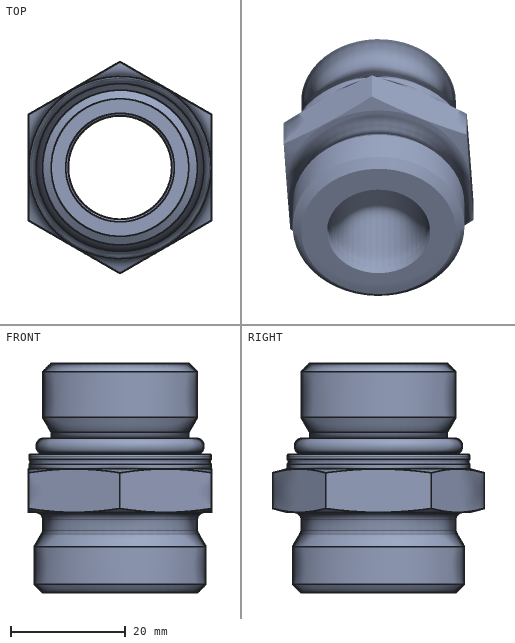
import cadquery as cq
import math

total_height = 40.0

lower_radius = 30.0 / 2
upper_radius = 27.0 / 2
upper_neck_radius = 24.0 / 2
end_chamfer = upper_radius - upper_neck_radius
runout_angle = 30.0
lower_thread_top = 8.0
lower_neck_radius = lower_radius - end_chamfer
upper_runout_bottom = 28.0
runout_height = end_chamfer / math.tan(math.radians(runout_angle))
runout_blend_radius = 1.2

hex_across_flats = 32.0
hex_bottom = 14.0
hex_top = 21.6
hex_chamfer_angle = 15.0
hex_fillet_radius = 1.15

collar_radius = 31.8 / 2
collar_top = 24.15
collar_edge_radius = 0.3
groove_bottom = 22.4
groove_top = 23.25
groove_depth = 0.2

bore_diameter = 18.0
bore_chamfer = 0.5

ring_outer_radius = 14.65
ring_section_radius = 1.4


def revolve(profile):
    """Revolve a closed (radius, height) profile about the Z axis."""
    return profile.close().revolve(360, (0, 0, 0), (0, 1, 0))


def make_turned_body():
    """Threaded ends, necks and sealing collar as one solid of revolution."""
    corner_height = lower_thread_top + runout_height
    half_turn = math.radians(runout_angle / 2)
    full_turn = math.radians(runout_angle)
    tangent_length = runout_blend_radius * math.tan(half_turn)
    blend_top = corner_height + tangent_length
    blend_center_radius = lower_neck_radius + runout_blend_radius

    def blend_point(angle):
        return (
            blend_center_radius - runout_blend_radius * math.cos(angle),
            blend_top - runout_blend_radius * math.sin(angle),
        )

    fillet_inset = hex_fillet_radius * (1 - math.sqrt(0.5))
    edge_inset = collar_edge_radius * (1 - math.sqrt(0.5))
    groove_middle = (groove_bottom + groove_top) / 2

    profile = (
        cq.Workplane("XZ")
        .moveTo(0, 0)
        .lineTo(lower_neck_radius, 0)
        .lineTo(lower_radius, end_chamfer)
        .lineTo(lower_radius, lower_thread_top)
        .lineTo(*blend_point(full_turn))
        .threePointArc(blend_point(half_turn), blend_point(0))
        .lineTo(lower_neck_radius, hex_bottom - hex_fillet_radius)
        .threePointArc(
            (lower_neck_radius + fillet_inset, hex_bottom - fillet_inset),
            (lower_neck_radius + hex_fillet_radius, hex_bottom),
        )
        .lineTo(collar_radius, hex_bottom)
        .lineTo(collar_radius, groove_bottom)
        .threePointArc((collar_radius - groove_depth, groove_middle), (collar_radius, groove_top))
        .lineTo(collar_radius, collar_top - collar_edge_radius)
        .threePointArc(
            (collar_radius - edge_inset, collar_top - edge_inset),
            (collar_radius - collar_edge_radius, collar_top),
        )
        .lineTo(upper_neck_radius, collar_top)
        .lineTo(upper_neck_radius, upper_runout_bottom)
        .lineTo(upper_radius, upper_runout_bottom + runout_height)
        .lineTo(upper_radius, total_height - end_chamfer)
        .lineTo(upper_neck_radius, total_height)
        .lineTo(0, total_height)
    )
    return revolve(profile)


def make_hexagon():
    """Hexagon with corners on the Y axis, chamfered by a cone at both ends."""
    corner_radius = hex_across_flats / math.sqrt(3)
    corner_drop = (corner_radius - collar_radius) * math.tan(math.radians(hex_chamfer_angle))
    prism = (
        cq.Workplane("XY")
        .workplane(offset=hex_bottom)
        .polygon(6, 2 * corner_radius)
        .extrude(hex_top - hex_bottom)
        .rotate((0, 0, 0), (0, 0, 1), 90)
    )
    chamfer_envelope = revolve(
        cq.Workplane("XZ")
        .moveTo(0, hex_bottom)
        .lineTo(collar_radius, hex_bottom)
        .lineTo(corner_radius, hex_bottom + corner_drop)
        .lineTo(corner_radius, hex_top - corner_drop)
        .lineTo(collar_radius, hex_top)
        .lineTo(0, hex_top)
    )
    return prism.intersect(chamfer_envelope)


def make_bore():
    """Through bore with a chamfered mouth at the top."""
    bore_radius = bore_diameter / 2
    return revolve(
        cq.Workplane("XZ")
        .moveTo(0, 0)
        .lineTo(bore_radius, 0)
        .lineTo(bore_radius, total_height - bore_chamfer)
        .lineTo(bore_radius + bore_chamfer, total_height)
        .lineTo(0, total_height)
    )


def make_sealing_ring():
    ring_center_radius = ring_outer_radius - ring_section_radius
    ring_height = collar_top + ring_section_radius
    ring = cq.Solid.makeTorus(ring_center_radius, ring_section_radius, cq.Vector(0, 0, ring_height))
    return cq.Workplane(ring)


def make_fitting(ring):
    """Bored fitting with a shallow seat in the upper neck that matches the ring."""
    blank = make_turned_body().union(make_hexagon())
    return blank.cut(make_bore()).cut(ring)


sealing_ring = make_sealing_ring()
fitting = make_fitting(sealing_ring)

result = cq.Compound.makeCompound([fitting.val(), sealing_ring.val()])